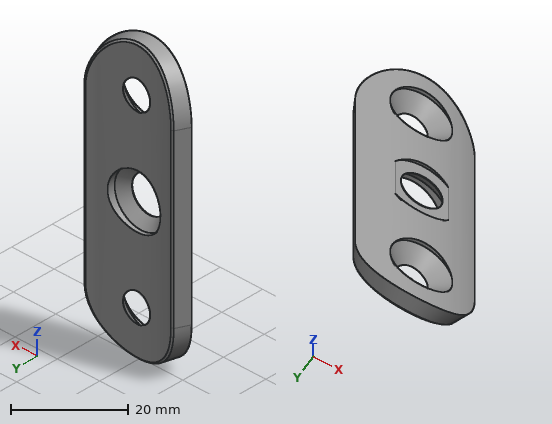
import cadquery as cq
import math

length = 64.0
width = 24.0
outer_radius = 27.65
thickness = 3.65
back_chamfer = 0.4

screw_spacing = 43.0
screw_hole_diameter = 6.4
countersink_diameter = 12.5
countersink_angle = 90.0

center_hole_diameter = 8.3
center_bore_diameter = countersink_diameter
center_lip = 0.1
flare_angle = 45.0
seat_width = 10.6
seat_diameter = 14.1

clearance = 0.65
curve_points = 40

inner_radius = outer_radius - thickness
half_width = width / 2
end_center_z = length / 2 - half_width
half_angle_sine = half_width / outer_radius
cut_depth = 2 * thickness


def sagitta(half_chord):
    """Distance the outer face falls back from its crest at the given X."""
    return outer_radius - math.sqrt(outer_radius**2 - half_chord**2)


def front_cylinder(diameter, depth):
    """Cylinder from Y = 0 toward +Y, centred on X = Z = 0."""
    return cq.Workplane("XZ").circle(diameter / 2).extrude(-depth)


def outline_wire(y):
    """Round-ended outline at depth y, spread about the bend axis so the edge walls are radial.

    On the outer face each end is a half circle when seen along Y.
    """
    axis_distance = outer_radius - y
    side_x = axis_distance * math.tan(math.asin(half_angle_sine))

    def end_curve(side):
        def point(t):
            bend_angle = math.asin(half_angle_sine * math.cos(math.pi * t))
            x = side * axis_distance * math.tan(bend_angle)
            z = side * (end_center_z + half_width * math.sin(math.pi * t))
            return x, z

        return point

    return (
        cq.Workplane("XZ", origin=(0, y, 0))
        .parametricCurve(end_curve(1), N=curve_points, makeWire=False)
        .moveTo(-side_x, end_center_z)
        .lineTo(-side_x, -end_center_z)
        .parametricCurve(end_curve(-1), N=curve_points, makeWire=False)
        .moveTo(side_x, -end_center_z)
        .lineTo(side_x, end_center_z)
        .consolidateWires()
        .val()
    )


def curved_plate():
    """Piece of a tube wall cut to the round-ended outline, chamfered around its back rim."""
    tube = (
        cq.Workplane("XY", origin=(0, outer_radius, -length / 2))
        .circle(outer_radius)
        .circle(inner_radius)
        .extrude(length)
    )
    front_y = -clearance
    back_y = sagitta(half_width) + thickness + clearance
    wedge = cq.Solid.makeLoft([outline_wire(front_y), outline_wire(back_y)], True)
    plate = tube.intersect(cq.Workplane(obj=wedge))
    back_face = plate.faces(cq.selectors.NearestToPointSelector((0, thickness, 0)))
    return back_face.edges().chamfer(back_chamfer)


def screw_hole_cutter():
    """Through hole with a cone behind a short round mouth in the curved face."""
    rim_radius = countersink_diameter / 2
    rim_y = sagitta(rim_radius)
    cone_depth = rim_radius / math.tan(math.radians(countersink_angle / 2))
    rim_center = cq.Vector(0, rim_y, 0)
    inward = cq.Vector(0, 1, 0)
    cone = cq.Workplane(obj=cq.Solid.makeCone(rim_radius, 0, cone_depth, rim_center, inward))
    mouth = front_cylinder(countersink_diameter, rim_y)
    through_hole = front_cylinder(screw_hole_diameter, cut_depth)
    return cone.union(mouth).union(through_hole)


def center_cutter():
    """Flat seat in front of a hole that flares out behind a thin lip into a wider bore."""
    seat_depth = sagitta(seat_width / 2)
    seat_sides = cq.Workplane("XY").box(seat_width, 2 * seat_depth, seat_diameter)
    seat = front_cylinder(seat_diameter, seat_depth).intersect(seat_sides)

    hole_radius = center_hole_diameter / 2
    bore_radius = center_bore_diameter / 2
    flare_start = seat_depth + center_lip
    flare_end = flare_start + (bore_radius - hole_radius) / math.tan(math.radians(flare_angle))
    hole_profile = [
        (0, 0),
        (hole_radius, 0),
        (hole_radius, flare_start),
        (bore_radius, flare_end),
        (bore_radius, cut_depth),
        (0, cut_depth),
    ]
    hole = (
        cq.Workplane("XY")
        .polyline(hole_profile)
        .close()
        .revolve(360, (0, 0, 0), (0, 1, 0))
    )
    return seat.union(hole)


result = curved_plate().cut(center_cutter())
for side in (-1, 1):
    result = result.cut(screw_hole_cutter().translate((0, 0, side * screw_spacing / 2)))